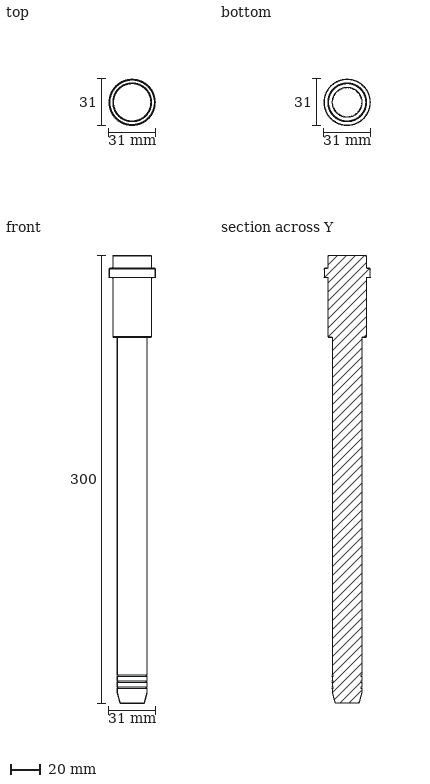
import cadquery as cq
import math

total_length = 300.0

shaft_radius = 10.0
tip_length = 7.0
tip_angle = 15.0
tip_edge_radius = 0.5

shank_radius = 13.0
shank_length = 55.0
shank_chamfer = 0.5

collar_radius = 15.5
collar_height = 6.5
collar_chamfer = 0.6
head_height = 8.5

corner_radius = 0.4

groove_count = 3
groove_pitch = 4.0
groove_radius = 0.5
first_groove_height = 10.5

tip_end_radius = shaft_radius - tip_length * math.tan(math.radians(tip_angle))
shank_bottom = total_length - shank_length
collar_top = total_length - head_height
collar_bottom = collar_top - collar_height


def make_body():
    """Turned body revolved from one half profile, followed from the tip upwards."""
    profile = cq.Workplane("XZ").lineTo(tip_end_radius, 0).lineTo(shaft_radius, tip_length)

    profile = profile.lineTo(shaft_radius, shank_bottom - corner_radius)
    profile = profile.radiusArc((shaft_radius + corner_radius, shank_bottom), corner_radius)

    profile = profile.lineTo(shank_radius - shank_chamfer, shank_bottom)
    profile = profile.lineTo(shank_radius, shank_bottom + shank_chamfer)
    profile = profile.lineTo(shank_radius, collar_bottom - corner_radius)
    profile = profile.radiusArc((shank_radius + corner_radius, collar_bottom), corner_radius)

    profile = profile.lineTo(collar_radius, collar_bottom)
    profile = profile.lineTo(collar_radius, collar_top - collar_chamfer)
    profile = profile.lineTo(collar_radius - collar_chamfer, collar_top)

    profile = profile.lineTo(shank_radius + corner_radius, collar_top)
    profile = profile.radiusArc((shank_radius, collar_top + corner_radius), corner_radius)
    profile = profile.lineTo(shank_radius, total_length - shank_chamfer)
    profile = profile.lineTo(shank_radius - shank_chamfer, total_length)
    profile = profile.lineTo(0, total_length).close()

    body = profile.revolve(360, (0, 0, 0), (0, 1, 0))
    return body.faces("<Z").edges().fillet(tip_edge_radius)


def make_groove(center_height):
    """Torus that cuts a half-round groove around the shaft."""
    section = cq.Workplane("XZ").moveTo(shaft_radius, center_height).circle(groove_radius)
    return section.revolve(360, (0, 0, 0), (0, 1, 0))


result = make_body()
for index in range(groove_count):
    result = result.cut(make_groove(first_groove_height + index * groove_pitch))